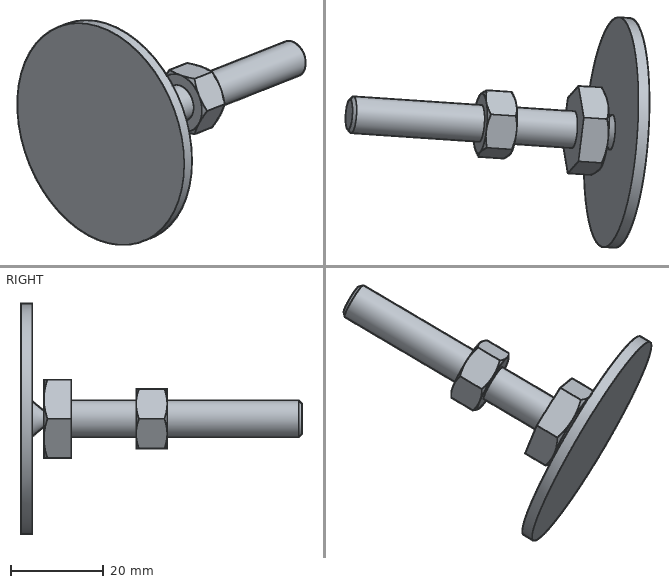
import cadquery as cq
import math


plate_diameter = 50.0
plate_thickness = 2.5
neck_height = 2.5
neck_bottom_radius = 3.85
neck_top_radius = 1.75

total_length = 61.0
stud_diameter = 8.05
tip_chamfer = 0.75
head_width = 17.0
head_height = 6.0
head_start = plate_thickness + neck_height

nut_width = 13.0
nut_height = 6.7
nut_start = 25.0

corner_angle = math.radians(30)


def cylinder(diameter, start, length):
    """Cylinder on the Y axis, from y = start."""
    plane = cq.Workplane("XZ", origin=(0, start, 0))
    return plane.circle(diameter / 2).extrude(-length)


def revolve_about_y(profile):
    """Solid of revolution from (radius, y) points."""
    return cq.Workplane("XY").polyline(profile).close().revolve(360, (0, 0), (0, 1))


def hexagon(width, start, height, trim_far_end):
    """Hexagonal prism on the Y axis with corners on +X and -X.

    The corners are always trimmed at the near end, optionally at the far end.
    """
    corner_radius = width / 2 / math.cos(math.pi / 6)
    plane = cq.Workplane("XZ", origin=(0, start, 0))
    prism = plane.polygon(6, 2 * corner_radius).extrude(-height)

    flat_radius = width / 2
    trim_height = (corner_radius - flat_radius) * math.tan(corner_angle)
    end = start + height
    profile = [(0, start), (flat_radius, start), (corner_radius, start + trim_height)]
    if trim_far_end:
        profile += [(corner_radius, end - trim_height), (flat_radius, end)]
    else:
        profile += [(corner_radius, end)]
    profile += [(0, end)]
    return prism.intersect(revolve_about_y(profile))


def make_base():
    """Round plate with a conical neck that carries the stud."""
    plate = cylinder(plate_diameter, 0, plate_thickness)
    neck = revolve_about_y([
        (0, plate_thickness),
        (neck_bottom_radius, plate_thickness),
        (neck_top_radius, head_start),
        (0, head_start),
    ])
    return plate.union(neck)


def make_stud():
    """Hexagonal head and long shank with a chamfered tip."""
    head = hexagon(head_width, head_start, head_height, trim_far_end=False)
    shank_start = head_start + head_height
    stud_radius = stud_diameter / 2
    shank = revolve_about_y([
        (0, shank_start),
        (stud_radius, shank_start),
        (stud_radius, total_length - tip_chamfer),
        (stud_radius - tip_chamfer, total_length),
        (0, total_length),
    ])
    return head.union(shank)


def make_nut():
    """Hexagonal nut bored to fit the stud, trimmed at both ends."""
    blank = hexagon(nut_width, nut_start, nut_height, trim_far_end=True)
    return blank.cut(cylinder(stud_diameter, nut_start, nut_height))


base = make_base()
stud = make_stud()
nut = make_nut()

result = cq.Compound.makeCompound([base.val(), stud.val(), nut.val()])